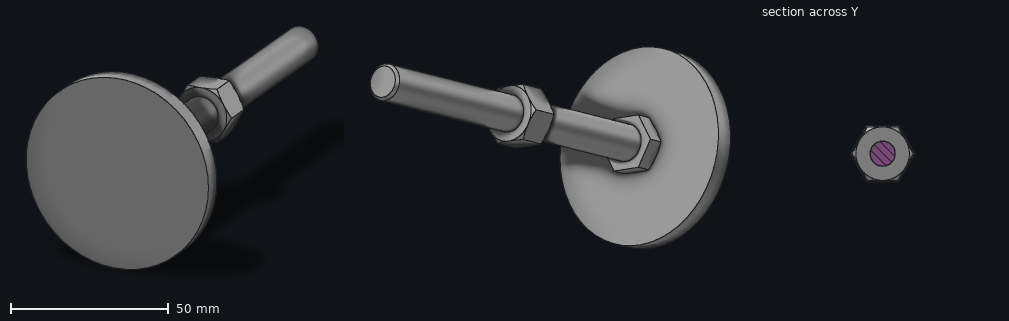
import cadquery as cq
import math

total_length = 138.0

disc_diameter = 64.0
disc_thickness = 6.3

rod_diameter = 12.0
rod_end_chamfer = 1.0
neck_diameter = 8.0
collar_across_flats = 17.0
collar_start = 6.9
collar_end = 13.0

nut_across_flats = 18.0
nut_thickness = 10.8
nut_start = 62.5

corner_chamfer_angle = math.radians(30)


def cylinder(diameter, start, end):
    """Cylinder on the Y axis between two Y positions."""
    return cq.Workplane("XZ", origin=(0, start, 0)).circle(diameter / 2).extrude(start - end)


def hexagon(across_flats, start, end, chamfer_end):
    """Hexagonal prism with corners on X; its corners are chamfered at start, and optionally at end."""
    corner_radius = across_flats / math.sqrt(3)
    flat_radius = across_flats / 2
    chamfer_height = (corner_radius - flat_radius) * math.tan(corner_chamfer_angle)
    prism = cq.Workplane("XZ", origin=(0, start, 0)).polygon(6, 2 * corner_radius).extrude(start - end)

    profile = cq.Workplane("XY").moveTo(0, start).lineTo(flat_radius, start)
    profile = profile.lineTo(corner_radius, start + chamfer_height)
    if chamfer_end:
        profile = profile.lineTo(corner_radius, end - chamfer_height).lineTo(flat_radius, end)
    else:
        profile = profile.lineTo(corner_radius, end)
    envelope = profile.lineTo(0, end).close().revolve(360, (0, 0, 0), (0, 1, 0))
    return prism.intersect(envelope)


def make_disc():
    return cylinder(disc_diameter, 0, disc_thickness)


def make_stem():
    rod = cylinder(rod_diameter, collar_end, total_length)
    rod = rod.faces(">Y").chamfer(rod_end_chamfer)
    collar = hexagon(collar_across_flats, collar_start, collar_end, chamfer_end=False)
    neck = cylinder(neck_diameter, disc_thickness, collar_start)
    return rod.union(collar).union(neck)


def make_nut():
    nut_end = nut_start + nut_thickness
    bore = cylinder(rod_diameter, nut_start, nut_end)
    return hexagon(nut_across_flats, nut_start, nut_end, chamfer_end=True).cut(bore)


disc = make_disc()
stem = make_stem()
nut = make_nut()

result = cq.Compound.makeCompound([disc.val(), stem.val(), nut.val()])